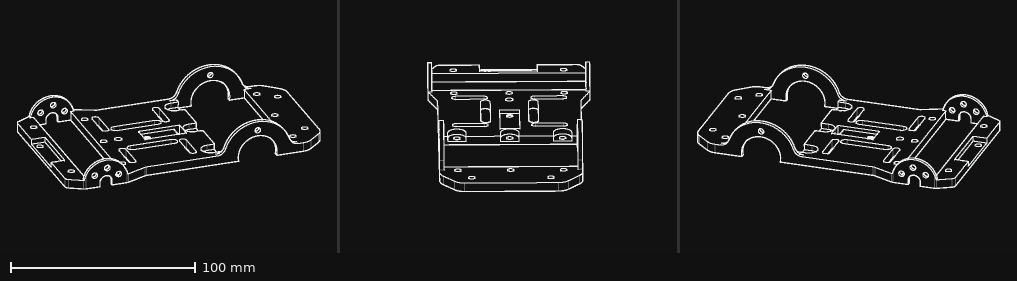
import cadquery as cq
import math


length = 151.5
body_half_width = 39.0
overall_width = 88.0
wide_half_width = overall_width / 2
thickness = 5.2
taper_start_y = 46.2
taper_end_y = 34.1
front_corner_y = 9.2
rear_chamfer_x = 10.2
rear_chamfer_y = 11.2
rear_corner_radius = 7.5
side_corner_radius = 2.5

rear_seat_y = 111.0
rear_axis_z = 2.3
rear_seat_radius = 19.7
rear_arch_radius = 19.7
rear_arch_bore_radius = 11.2
rear_arch_thickness = 2.5
rear_arch_blend_radius = 5.0
rear_arch_hole_diameter = 3.0
rear_arch_hole_z = 16.8

front_seat_y = 21.5
front_axis_z = 2.5
front_seat_radius = 11.0
front_arch_radius = 12.9
front_arch_bore_radius = 3.5
front_arch_thickness = 2.1
front_arch_hole_diameter = 3.2
front_arch_hole_circle_radius = 8.0
front_arch_hole_angles = (25, 85, 145)

screw_diameter = 3.5
large_hole_diameter = 4.0
large_hole_y = 44.5
rear_row_center_x = 0.23
rear_row_span = 57.4
rear_row_pitch = rear_row_span / 2
rear_row_xs = [rear_row_center_x + step * rear_row_pitch for step in (-1, 0, 1)]
rear_row_y = 135.0
tail_hole_x = 21.5
tail_hole_y = 144.5
front_row_x = 30.0
front_row_y = 36.0
nose_hole_x = front_row_x
nose_hole_y = 6.5

pad_row_y = 87.1
pad_diameter = 10.0
pad_floor_z = 2.0
center_pocket_width = 10.8
center_pocket_front_y = 58.2
center_pocket_rear_y = 82.0
center_pocket_floor_z = 3.2
center_web_thickness = 0.6
center_window_front_y = 78.8
center_pocket_hole_y = 61.4
front_pocket_width = 31.4
front_pocket_depth_y = 7.9
front_pocket_floor_z = 2.3
front_pocket_hole_x = 11.5
front_pocket_hole_y = 3.5

cross_slot_x = 21.5
cross_slot_ys = (42.0, 77.0)
cross_slot_length = 19.4
cross_slot_width = 4.0
long_slot_x = 13.0
long_slot_y = 59.5
long_slot_length = 28.8
long_slot_width = 5.3


def box(x_min, x_max, y_min, y_max, z_min, z_max):
    """Block between the given limits."""
    size = (x_max - x_min, y_max - y_min, z_max - z_min)
    return cq.Workplane("XY").box(*size, centered=False).translate((x_min, y_min, z_min))


def cross_cylinder(radius, y, z, half_length):
    """Cylinder along X, centred on the part's centre line."""
    return cq.Workplane("YZ").center(y, z).circle(radius).extrude(half_length, both=True)


def outline_prism(height):
    """Symmetric plan outline with rounded corners and a widened front."""
    right_side = [
        (body_half_width, 0),
        (wide_half_width, front_corner_y),
        (wide_half_width, taper_end_y),
        (body_half_width, taper_start_y),
        (body_half_width, length - rear_chamfer_y),
        (body_half_width - rear_chamfer_x, length),
    ]
    left_side = [(-x, y) for x, y in reversed(right_side)]
    plate = cq.Workplane("XY").polyline(right_side + left_side).close().extrude(height)
    middle_y = length / 2
    rear_half = cq.selectors.BoxSelector((-length, middle_y, -length), (length, 2 * length, length))
    front_half = cq.selectors.BoxSelector((-length, -length, -length), (length, middle_y, length))
    plate = plate.edges("|Z").edges(rear_half).fillet(rear_corner_radius)
    return plate.edges("|Z").edges(front_half).fillet(side_corner_radius)


def rear_arch_band():
    """Rear arch profile, blended into the plate top, across the body width."""
    blend_z = thickness + rear_arch_blend_radius
    center_distance = rear_arch_radius + rear_arch_blend_radius
    blend_dy = math.sqrt(center_distance**2 - (blend_z - rear_axis_z) ** 2)
    foot_start_y = rear_seat_y - blend_dy
    foot_end_y = rear_seat_y + blend_dy
    foot = box(-body_half_width, body_half_width, foot_start_y, foot_end_y, 0, blend_z)
    for side in (-1, 1):
        blend_y = rear_seat_y + side * blend_dy
        foot = foot.cut(cross_cylinder(rear_arch_blend_radius, blend_y, blend_z, body_half_width))
    touch_z = rear_axis_z + (blend_z - rear_axis_z) * rear_arch_radius / center_distance
    foot = foot.intersect(box(-length, length, 0, length, 0, touch_z))
    arch = cross_cylinder(rear_arch_radius, rear_seat_y, rear_axis_z, body_half_width)
    return foot.union(arch)


def front_arch_band():
    """Front arch profile across the widened front."""
    return cross_cylinder(front_arch_radius, front_seat_y, front_axis_z, wide_half_width)


def seat(radius, y, axis_z, half_width):
    """Cylindrical cut across the plate, plus the open space above the plate between a pair of arches."""
    above = box(-half_width, half_width, 0, length, thickness, length)
    return cross_cylinder(radius, y, axis_z, half_width).union(above)


def arch_bores():
    """Round bore in the rear arches and straight-legged notch in the front arches."""
    rear = cross_cylinder(rear_arch_bore_radius, rear_seat_y, rear_axis_z, length)
    front_round = cross_cylinder(front_arch_bore_radius, front_seat_y, front_axis_z, length)
    leg_start_y = front_seat_y - front_arch_bore_radius
    leg_end_y = front_seat_y + front_arch_bore_radius
    front_legs = box(-length, length, leg_start_y, leg_end_y, 0, front_axis_z)
    return rear.union(front_round).union(front_legs)


def arch_holes():
    """Screw holes through the arches along X."""
    holes = cross_cylinder(rear_arch_hole_diameter / 2, rear_seat_y, rear_arch_hole_z, length)
    for angle in front_arch_hole_angles:
        y = front_seat_y + front_arch_hole_circle_radius * math.cos(math.radians(angle))
        z = front_axis_z + front_arch_hole_circle_radius * math.sin(math.radians(angle))
        holes = holes.union(cross_cylinder(front_arch_hole_diameter / 2, y, z, length))
    return holes


def plate_holes():
    """Screw holes through the plate along Z."""
    points = [(0, center_pocket_hole_y), (0, front_row_y)]
    for x in rear_row_xs:
        points += [(x, rear_row_y), (x, pad_row_y)]
    for side in (-1, 1):
        points += [
            (side * tail_hole_x, tail_hole_y),
            (side * front_row_x, front_row_y),
            (side * nose_hole_x, nose_hole_y),
            (side * front_pocket_hole_x, front_pocket_hole_y),
        ]
    holes = cq.Workplane("XY").pushPoints(points).circle(screw_diameter / 2).extrude(thickness)
    large_hole = cq.Workplane("XY").center(0, large_hole_y).circle(large_hole_diameter / 2)
    return holes.union(large_hole.extrude(thickness))


def slots():
    """Four slots across the plate and two along it."""
    cross_points = [(side * cross_slot_x, y) for side in (-1, 1) for y in cross_slot_ys]
    long_points = [(side * long_slot_x, long_slot_y) for side in (-1, 1)]
    cross = cq.Workplane("XY").pushPoints(cross_points).slot2D(cross_slot_length, cross_slot_width)
    along = cq.Workplane("XY").pushPoints(long_points).slot2D(long_slot_length, long_slot_width, 90)
    return cross.extrude(thickness).union(along.extrude(thickness))


def screw_pad(x):
    """Round-ended recess around a screw, open towards the rear seat."""
    radius = pad_diameter / 2
    round_end = cq.Workplane("XY", origin=(x, pad_row_y, pad_floor_z)).circle(radius)
    pad = round_end.extrude(thickness - pad_floor_z)
    return pad.union(box(x - radius, x + radius, pad_row_y, rear_seat_y, pad_floor_z, thickness))


def center_pocket():
    """Matching recesses above and below a thin web, joined by a window at the rear end."""
    half = center_pocket_width / 2
    front_y = center_pocket_front_y
    rear_y = center_pocket_rear_y
    web_underside_z = center_pocket_floor_z - center_web_thickness
    upper = box(-half, half, front_y, rear_y, center_pocket_floor_z, thickness)
    lower = box(-half, half, front_y, rear_y, 0, web_underside_z)
    window = box(-half, half, center_window_front_y, rear_y, 0, thickness)
    return upper.union(lower).union(window)


def front_pocket():
    """Recess open at the front edge."""
    half = front_pocket_width / 2
    return box(-half, half, 0, front_pocket_depth_y, front_pocket_floor_z, thickness)


rear_seat = seat(rear_seat_radius, rear_seat_y, rear_axis_z, body_half_width - rear_arch_thickness)
front_seat = seat(front_seat_radius, front_seat_y, front_axis_z, wide_half_width - front_arch_thickness)
arches = rear_arch_band().cut(rear_seat).union(front_arch_band().cut(front_seat))
arches = arches.intersect(outline_prism(length))

result = outline_prism(thickness).cut(rear_seat).cut(front_seat).union(arches)
result = result.cut(arch_bores()).cut(arch_holes()).cut(plate_holes()).cut(slots())
for pad_x in rear_row_xs:
    result = result.cut(screw_pad(pad_x))
result = result.cut(center_pocket()).cut(front_pocket())